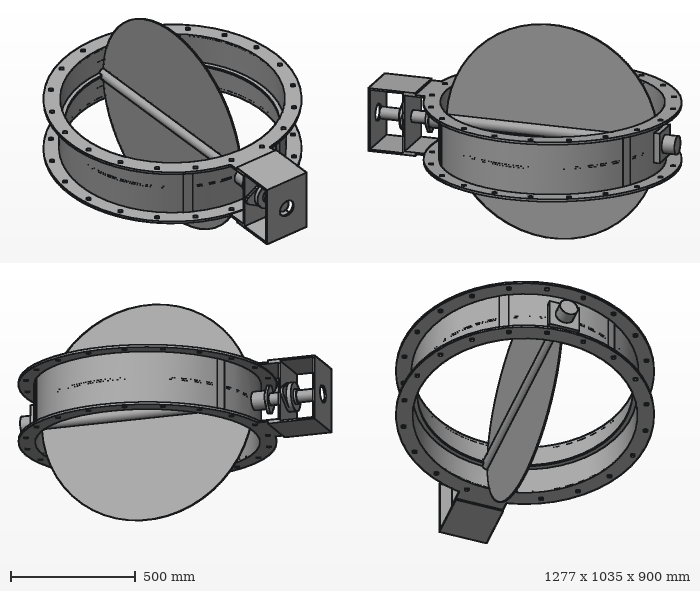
import cadquery as cq
import math

DUCT_HEIGHT = 250.0
DUCT_BORE_DIAMETER = 900.0
DUCT_WALL = 5.0
DUCT_DIAMETER = DUCT_BORE_DIAMETER + 2 * DUCT_WALL
DUCT_RADIUS = DUCT_DIAMETER / 2
HALF_HEIGHT = DUCT_HEIGHT / 2

FLANGE_DIAMETER = 1035.0
FLANGE_THICKNESS = 10.0
BOLT_CIRCLE_DIAMETER = 981.0
BOLT_HOLE_DIAMETER = 18.0
BOLT_HOLE_COUNT = 20

SEAT_INNER_DIAMETER = 863.0
SEAT_THICKNESS = 8.0
SEAT_WALL_OVERLAP = 1.0

STRIP_WIDTH = 38.0
STRIP_THICKNESS = 5.0
STRIP_PROUD = 0.6
STRIP_ANGLES = (30, 150, 210, 330)

BLADE_DIAMETER = DUCT_BORE_DIAMETER
BLADE_THICKNESS = 5.0
SHAFT_DIAMETER = 50.0
SHAFT_END_X = 727.0

HUB_DIAMETER = 75.0
LEFT_HUB_END_X = -530.0
PAD_SIDE = 125.0
PAD_OUTER_X = -476.0
GLAND_X = 513.0
GLAND_THICKNESS = 11.0
GLAND_BODY_RADIUS = 45.0
GLAND_EAR_RADIUS = 24.0
GLAND_EAR_OFFSET = 35.0
GLAND_NECK_RADIUS = 28.0

BRACKET_WIDTH = 200.0
BRACKET_PLATE = 8.0
INNER_WEB_OUTER_X = 600.0
OUTER_CHANNEL_START_X = 548.0
OUTER_CHANNEL_END_X = 747.0
END_PLATE_HOLE_DIAMETER = 70.0

BEARING_DIAMETER = 117.0
BEARING_BASE_THICKNESS = 11.0
BEARING_EAR_RADIUS = 19.0
BEARING_EAR_OFFSET = 79.0
BEARING_BODY_THICKNESS = 19.0
BEARING_COLLAR_DIAMETER = 63.0
BEARING_COLLAR_LENGTH = 11.0


def rod(diameter, start_x, end_x):
    """Cylinder on the shaft axis."""
    return cq.Workplane("YZ").workplane(offset=start_x).circle(diameter / 2).extrude(end_x - start_x)


def block(start_x, end_x, width, bottom_z, top_z):
    """Box centred on Y = 0."""
    return (
        cq.Workplane("XY")
        .box(end_x - start_x, width, top_z - bottom_z, centered=(False, True, False))
        .translate((start_x, 0, bottom_z))
    )


def ring(outer_diameter, inner_diameter, bottom_z, height):
    """Ring on the duct axis."""
    profile = cq.Workplane("XY").workplane(offset=bottom_z).circle(outer_diameter / 2)
    return profile.circle(inner_diameter / 2).extrude(height)


def gland_flange():
    """Round plate with an ear above and below, blended by concave necks."""
    body_reach = GLAND_BODY_RADIUS + GLAND_NECK_RADIUS
    ear_reach = GLAND_EAR_RADIUS + GLAND_NECK_RADIUS
    ear_z = GLAND_EAR_OFFSET
    neck_z = (body_reach**2 - ear_reach**2 + ear_z**2) / (2 * ear_z)
    neck_y = math.sqrt(body_reach**2 - neck_z**2)
    body_share = GLAND_BODY_RADIUS / body_reach
    ear_share = GLAND_EAR_RADIUS / ear_reach
    body_y = neck_y * body_share
    body_z = neck_z * body_share
    ear_y = neck_y * ear_share
    ear_touch_z = ear_z + (neck_z - ear_z) * ear_share
    ear_tip_z = ear_z + GLAND_EAR_RADIUS
    chord_y = (body_y + ear_y) / 2 - neck_y
    chord_z = (body_z + ear_touch_z) / 2 - neck_z
    stretch = GLAND_NECK_RADIUS / math.hypot(chord_y, chord_z)
    bend_y = neck_y + chord_y * stretch
    bend_z = neck_z + chord_z * stretch
    return (
        cq.Workplane("YZ")
        .workplane(offset=GLAND_X)
        .moveTo(body_y, -body_z)
        .threePointArc((GLAND_BODY_RADIUS, 0), (body_y, body_z))
        .threePointArc((bend_y, bend_z), (ear_y, ear_touch_z))
        .threePointArc((0, ear_tip_z), (-ear_y, ear_touch_z))
        .threePointArc((-bend_y, bend_z), (-body_y, body_z))
        .threePointArc((-GLAND_BODY_RADIUS, 0), (-body_y, -body_z))
        .threePointArc((-bend_y, -bend_z), (-ear_y, -ear_touch_z))
        .threePointArc((0, -ear_tip_z), (ear_y, -ear_touch_z))
        .threePointArc((bend_y, -bend_z), (body_y, -body_z))
        .close()
        .extrude(GLAND_THICKNESS)
    )


def bearing_base():
    """Oval plate: two ears along Y joined by straight tangents to the round body."""
    body_radius = BEARING_DIAMETER / 2
    tangent_cos = (body_radius - BEARING_EAR_RADIUS) / BEARING_EAR_OFFSET
    tangent_sin = math.sqrt(1 - tangent_cos**2)
    body_y = body_radius * tangent_cos
    body_z = body_radius * tangent_sin
    ear_y = BEARING_EAR_OFFSET + BEARING_EAR_RADIUS * tangent_cos
    ear_z = BEARING_EAR_RADIUS * tangent_sin
    ear_tip_y = BEARING_EAR_OFFSET + BEARING_EAR_RADIUS
    return (
        cq.Workplane("YZ")
        .workplane(offset=INNER_WEB_OUTER_X)
        .moveTo(ear_y, -ear_z)
        .threePointArc((ear_tip_y, 0), (ear_y, ear_z))
        .lineTo(body_y, body_z)
        .threePointArc((0, body_radius), (-body_y, body_z))
        .lineTo(-ear_y, ear_z)
        .threePointArc((-ear_tip_y, 0), (-ear_y, -ear_z))
        .lineTo(-body_y, -body_z)
        .threePointArc((0, -body_radius), (body_y, -body_z))
        .close()
        .extrude(BEARING_BASE_THICKNESS)
    )


def channel(start_x, end_x, half_height):
    """C-shaped channel that opens toward the duct."""
    outer = block(start_x, end_x, BRACKET_WIDTH, -half_height, half_height)
    inner_half_height = half_height - BRACKET_PLATE
    opening = block(start_x, end_x - BRACKET_PLATE, BRACKET_WIDTH, -inner_half_height, inner_half_height)
    return outer.cut(opening)


def duct():
    """Wall, flanges and cover strips."""
    body = ring(DUCT_DIAMETER, DUCT_BORE_DIAMETER, -HALF_HEIGHT, DUCT_HEIGHT)
    for bottom_z in (-HALF_HEIGHT, HALF_HEIGHT - FLANGE_THICKNESS):
        body = body.union(ring(FLANGE_DIAMETER, DUCT_BORE_DIAMETER, bottom_z, FLANGE_THICKNESS))
    strip_outer = DUCT_RADIUS + STRIP_PROUD
    strip_half_height = HALF_HEIGHT - FLANGE_THICKNESS
    strip = block(
        strip_outer - STRIP_THICKNESS, strip_outer, STRIP_WIDTH, -strip_half_height, strip_half_height
    )
    for angle in STRIP_ANGLES:
        body = body.union(strip.rotate((0, 0, 0), (0, 0, 1), angle))
    return body


def bolt_holes():
    """Bolt hole cutters through both flanges, placed evenly about the shaft line."""
    first_angle = 180 / BOLT_HOLE_COUNT
    return (
        cq.Workplane("XY")
        .workplane(offset=-HALF_HEIGHT)
        .polarArray(BOLT_CIRCLE_DIAMETER / 2, first_angle, 360, BOLT_HOLE_COUNT)
        .circle(BOLT_HOLE_DIAMETER / 2)
        .extrude(DUCT_HEIGHT)
    )


def seats():
    """The +Y half ring touches the closed blade from below, the -Y half ring from above."""
    seat_diameter = DUCT_BORE_DIAMETER + 2 * SEAT_WALL_OVERLAP
    low_z = -BLADE_THICKNESS / 2 - SEAT_THICKNESS
    high_z = BLADE_THICKNESS / 2
    half = cq.Workplane("XY").box(DUCT_DIAMETER, DUCT_RADIUS, DUCT_HEIGHT, centered=(True, False, True))
    low_seat = ring(seat_diameter, SEAT_INNER_DIAMETER, low_z, SEAT_THICKNESS).intersect(half)
    high_seat = ring(seat_diameter, SEAT_INNER_DIAMETER, high_z, SEAT_THICKNESS)
    return low_seat.union(high_seat.cut(half))


def blade():
    """Round blade standing upright in the duct."""
    disc = cq.Workplane("XZ").circle(BLADE_DIAMETER / 2)
    return disc.extrude(BLADE_THICKNESS / 2, both=True)


def hubs():
    """Hub with a square pad on the -X side, hub with a gland flange on the +X side."""
    wall_x = DUCT_RADIUS - DUCT_WALL / 2
    left_hub = rod(HUB_DIAMETER, LEFT_HUB_END_X, -wall_x)
    pad_inner_x = -math.sqrt(DUCT_RADIUS**2 - (PAD_SIDE / 2) ** 2)
    pad = block(PAD_OUTER_X, pad_inner_x, PAD_SIDE, -PAD_SIDE / 2, PAD_SIDE / 2)
    right_hub = rod(HUB_DIAMETER, wall_x, GLAND_X)
    return left_hub.union(pad).union(right_hub).union(gland_flange())


def drive_bracket():
    """Inner channel level with the flange faces and outer channel with a hole in its end plate."""
    inner = channel(DUCT_RADIUS, INNER_WEB_OUTER_X, HALF_HEIGHT)
    outer = channel(OUTER_CHANNEL_START_X, OUTER_CHANNEL_END_X, HALF_HEIGHT + BRACKET_PLATE)
    end_hole = rod(END_PLATE_HOLE_DIAMETER, OUTER_CHANNEL_END_X - BRACKET_PLATE, OUTER_CHANNEL_END_X)
    return inner.union(outer.cut(end_hole))


def bearing():
    """Oval base, round body and collar."""
    body_x = INNER_WEB_OUTER_X + BEARING_BASE_THICKNESS
    collar_x = body_x + BEARING_BODY_THICKNESS
    body = rod(BEARING_DIAMETER, body_x, collar_x)
    collar = rod(BEARING_COLLAR_DIAMETER, collar_x, collar_x + BEARING_COLLAR_LENGTH)
    return bearing_base().union(body).union(collar)


shaft = rod(SHAFT_DIAMETER, -DUCT_RADIUS, SHAFT_END_X)
housing = duct().union(drive_bracket()).cut(bolt_holes())
result = housing.union(seats()).union(hubs()).union(bearing()).union(shaft).union(blade())